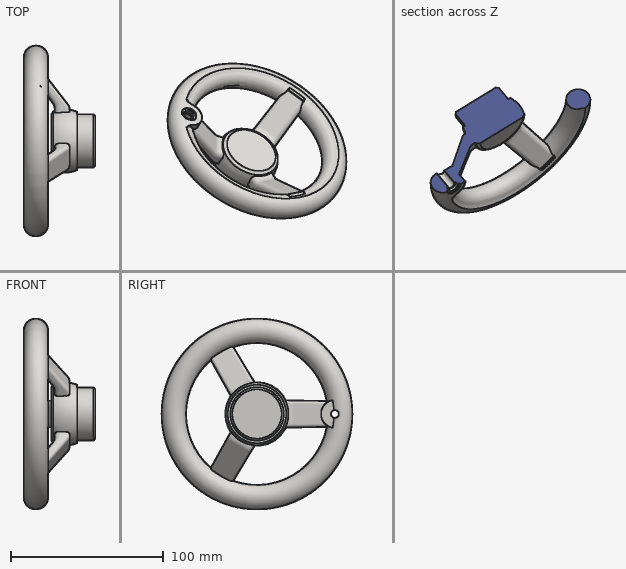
import cadquery as cq
import math

outer_radius = 62.5
rim_width = 16.1
tube_radius = rim_width / 2
tube_center_radius = outer_radius - tube_radius
step_inner_radius = 52.0
step_depth = 1.2
rim_inner_radius = outer_radius - 2 * tube_radius
inner_front_flank = (3.0, 48.6)

hub_front = 18.0
hub_face_radius = 17.1
hub_chamfer_end = 19.4
hub_shoulder_radius = 19.4
hub_bulge_position = 26.9
hub_bulge_radius = 20.9
hub_body_end = 35.0
hub_body_end_radius = 19.1
neck_radius = 35.0 / 2
neck_end = 47.0
neck_chamfer = 1.4

spoke_count = 3
spoke_root_width = 18.2
spoke_tip_width = 17.0
spoke_front_edge_radius = 3.5
spoke_back_edge_radius = 2.2
spoke_root_radius = 12.5
spoke_flat_radius = 50.0
spoke_flat_width = 12.5
flat_overlap = 0.6
spoke_front_bend = (20.2, 23.0)
spoke_back = 30.1
spoke_back_bend_radius = 22.5
spoke_back_rim = (8.8, spoke_flat_radius)
front_bend_fillet = 6.2
back_bend_fillet = 5.0

boss_radius = 9.1
boss_position = 51.0
boss_depth = 15.0
boss_flank = ((47.1, 8.2), (50.8, 9.9), (52.8, 12.5))
seat_diameter = 10.1
seat_depth = 1.0
inner_seat_diameter = 7.0
inner_seat_depth = 3.0
handle_hole_diameter = 5.0


def make_rim():
    """Revolve the tube section, drawn as (axial position, radius)."""
    slant = math.sqrt(0.5) * tube_radius
    rear_upper = (tube_radius + slant, tube_center_radius + slant)
    section = (
        cq.Workplane("XY")
        .moveTo(0, tube_center_radius)
        .threePointArc(rear_upper, (tube_radius, rim_inner_radius))
        .threePointArc(inner_front_flank, (step_depth, step_inner_radius))
        .close()
    )
    return section.revolve(360, (0, 0, 0), (1, 0, 0))


def make_hub():
    section = (
        cq.Workplane("XY")
        .moveTo(hub_front, 0)
        .lineTo(hub_front, hub_face_radius)
        .lineTo(hub_chamfer_end, hub_shoulder_radius)
        .threePointArc((hub_bulge_position, hub_bulge_radius), (hub_body_end, hub_body_end_radius))
        .lineTo(hub_body_end, neck_radius)
        .lineTo(neck_end - neck_chamfer, neck_radius)
        .lineTo(neck_end, neck_radius - neck_chamfer)
        .lineTo(neck_end, 0)
        .close()
    )
    return section.revolve(360, (0, 0, 0), (1, 0, 0))


def make_spoke():
    """Build the spoke that points along +Y, with a flat where it meets the rim step."""
    bend_x, bend_radius = spoke_front_bend
    side_profile = [
        (step_depth, spoke_flat_radius),
        (bend_x, bend_radius),
        (bend_x, spoke_root_radius),
        (spoke_back, spoke_root_radius),
        (spoke_back, spoke_back_bend_radius),
        spoke_back_rim,
    ]
    bar = cq.Workplane("XY").polyline(side_profile).close().extrude(spoke_root_width, both=True)
    tapered_plan = (
        cq.Workplane("YZ")
        .polyline([
            (spoke_root_radius, -spoke_root_width / 2),
            (spoke_root_radius, spoke_root_width / 2),
            (spoke_flat_radius, spoke_tip_width / 2),
            (spoke_flat_radius, -spoke_tip_width / 2),
        ])
        .close()
        .extrude(spoke_back)
    )
    bar = bar.intersect(tapered_plan)
    front_bend = cq.selectors.NearestToPointSelector((bend_x, bend_radius, 0))
    back_bend = cq.selectors.NearestToPointSelector((spoke_back, spoke_back_bend_radius, 0))
    bar = bar.edges(front_bend).fillet(front_bend_fillet)
    bar = bar.edges(back_bend).fillet(back_bend_fillet)

    for side in (-1, 1):
        for x, radius in ((bend_x, spoke_front_edge_radius), (spoke_back, spoke_back_edge_radius)):
            root_edge = (x, spoke_root_radius, side * spoke_root_width / 2)
            bar = bar.edges(cq.selectors.NearestToPointSelector(root_edge)).fillet(radius)

    flat_inner = spoke_flat_radius - flat_overlap
    flat_outer = step_inner_radius
    flat = (
        cq.Workplane("XY")
        .polyline([
            (step_depth, flat_inner),
            (step_depth, flat_outer),
            (tube_radius, flat_outer),
            (tube_radius, flat_inner),
        ])
        .close()
        .extrude(spoke_flat_width / 2, both=True)
    )
    return bar.union(flat)


def make_boss():
    """Build the handle boss; concave flanks widen it into the front ridge of the rim."""
    cylinder = cq.Workplane("YZ").center(boss_position, 0).circle(boss_radius).extrude(boss_depth)
    start, middle, end = boss_flank
    neck = (
        cq.Workplane("YZ")
        .moveTo(*start)
        .threePointArc(middle, end)
        .lineTo(tube_center_radius, end[1])
        .lineTo(tube_center_radius, -end[1])
        .lineTo(end[0], -end[1])
        .threePointArc((middle[0], -middle[1]), (start[0], -start[1]))
        .close()
        .extrude(tube_radius)
    )
    ridge_disc = cq.Workplane("YZ").circle(tube_center_radius).extrude(boss_depth)
    return cylinder.union(neck).intersect(ridge_disc)


def cut_seat(body):
    for diameter, depth in (
        (seat_diameter, seat_depth),
        (inner_seat_diameter, inner_seat_depth),
        (handle_hole_diameter, spoke_back),
    ):
        cutter = cq.Workplane("YZ").center(boss_position, 0).circle(diameter / 2).extrude(depth)
        body = body.cut(cutter)
    return body


wheel = make_rim().union(make_hub())
spoke = make_spoke()
for index in range(spoke_count):
    wheel = wheel.union(spoke.rotate((0, 0, 0), (1, 0, 0), index * 360 / spoke_count))

result = cut_seat(wheel.union(make_boss()))